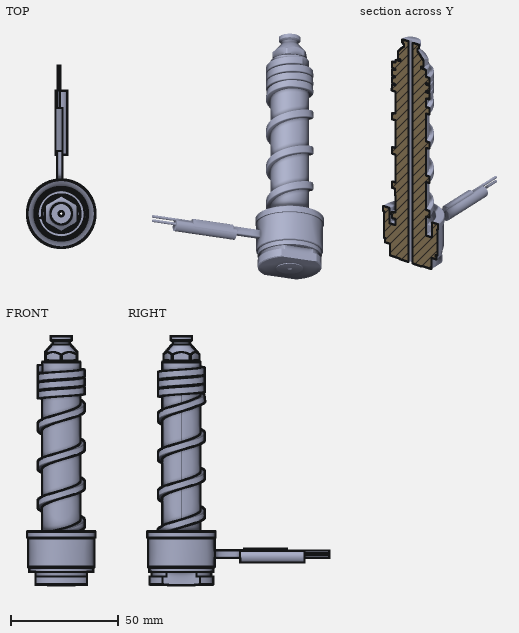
import cadquery as cq
import math

FULL_TURN = 360.0


PAD_RADIUS = 6.2
PAD_HEIGHT = 0.3
BASE_RADIUS = 14.9
BASE_TOP = 4.3
BASE_CHAMFER = 0.4
NECK_RADIUS = 14.0
NECK_TOP = 6.3
FLAT_HALF_WIDTH = 12.1
COLLAR_RADIUS = 15.0
COLLAR_TOP = 8.15
UNDERCUT_RADIUS = 14.6
BODY_BOTTOM = 8.5
BODY_RADIUS = 15.6
BODY_CHAMFER = 0.3
BODY_TOP = 22.0
FLANGE_RADIUS = 16.0
FLANGE_BOTTOM = 22.3
GROOVE_RADIUS = 15.3
HOUSING_TOP = 25.3
FLANGE_CHAMFER = 0.3
RECESS_RADIUS = 12.1
RECESS_CHAMFER = 0.4
RECESS_DEPTH = 8.0

BARREL_RADIUS = 9.0
BARREL_TOP = 104.3
BARREL_CHAMFER = 0.3
WASHER_RADIUS = 6.1
NUT_BOTTOM = 104.95
NUT_SIDES = 6
NUT_ACROSS_FLATS = 15.0
NUT_ROUND_RADIUS = 8.45
CONE_BASE_Z = 107.7
CONE_TOP_RADIUS = 4.3
CONE_TOP_Z = 112.4
TIP_NECK_RADIUS = 4.0
TIP_NECK_TOP = 113.6
TIP_RADIUS = 5.0
TIP_UNDERSIDE = 114.4
TOTAL_HEIGHT = 116.2
BORE_RADIUS = 1.1

COIL_RADIUS = 11.0
STRIP_HEIGHT = 3.5
STRIP_EDGE_RADIUS = 0.35
STRIP_OVERLAP = 1.0
CLOSE_PITCH = 4.0
OPEN_PITCH = 18.0
RAMP_ANGLE = 144.0
OPEN_TURNS_START = -51.0
OPEN_TURNS_END = 173.0 + 3 * FULL_TURN
LOWER_CLOSE_ANGLE = 300.0
UPPER_CLOSE_ANGLE = 18.0 + 3 * FULL_TURN
COIL_START = OPEN_TURNS_START - LOWER_CLOSE_ANGLE
COIL_END = OPEN_TURNS_END + UPPER_CLOSE_ANGLE
COIL_TOP_JOINT_Z = 88.8
SPINE_POINTS_PER_TURN = 16

CABLE_Z = 14.65
CABLE_X = -0.7
CABLE_WIDTH = 2.6
CABLE_HEIGHT = 3.7
CABLE_CORNER = 0.45
CABLE_START_Y = 13.5
BLOCK_X = -1.05
BLOCK_WIDTH = 3.3
BLOCK_HEIGHT = 5.0
BLOCK_CORNER = 1.1
BLOCK_START_Y = 29.2
BLOCK_LENGTH = 20.0
CABLE_END_Y = BLOCK_START_Y + BLOCK_LENGTH / 2
SLEEVE_RADIUS = 2.75
SLEEVE_X = 0.1
SLEEVE_Z = 13.4
SLEEVE_START_Y = 27.4
SLEEVE_LENGTH = 30.0
WIRE_X = -1.05
WIRE_RADIUS = 0.65
WIRE_SPACING = 2.15
WIRE_END_Y = 69.0


def turned(profile):
    """Solid of revolution about Z from (radius, z) corners, closed along the axis."""
    return cq.Workplane("XZ").polyline(profile).close().revolve(FULL_TURN, (0, 0), (0, 1))


def disc(radius, bottom, top):
    return cq.Workplane("XY").workplane(offset=bottom).circle(radius).extrude(top - bottom)


def make_housing():
    base = turned([
        (0, PAD_HEIGHT),
        (BASE_RADIUS - BASE_CHAMFER, PAD_HEIGHT),
        (BASE_RADIUS, PAD_HEIGHT + BASE_CHAMFER),
        (BASE_RADIUS, BASE_TOP),
        (NECK_RADIUS, BASE_TOP),
        (NECK_RADIUS, NECK_TOP),
        (0, NECK_TOP),
    ])
    between_flats = cq.Workplane("XY").box(
        2 * FLAT_HALF_WIDTH, 2 * BASE_RADIUS, NECK_TOP, centered=(True, True, False)
    )
    cup = turned([
        (0, NECK_TOP),
        (COLLAR_RADIUS, NECK_TOP),
        (COLLAR_RADIUS, COLLAR_TOP),
        (UNDERCUT_RADIUS, COLLAR_TOP),
        (UNDERCUT_RADIUS, BODY_BOTTOM),
        (BODY_RADIUS - BODY_CHAMFER, BODY_BOTTOM),
        (BODY_RADIUS, BODY_BOTTOM + BODY_CHAMFER),
        (BODY_RADIUS, BODY_TOP),
        (GROOVE_RADIUS, BODY_TOP),
        (GROOVE_RADIUS, FLANGE_BOTTOM),
        (FLANGE_RADIUS, FLANGE_BOTTOM),
        (FLANGE_RADIUS, HOUSING_TOP - FLANGE_CHAMFER),
        (FLANGE_RADIUS - FLANGE_CHAMFER, HOUSING_TOP),
        (RECESS_RADIUS + RECESS_CHAMFER, HOUSING_TOP),
        (RECESS_RADIUS, HOUSING_TOP - RECESS_CHAMFER),
        (RECESS_RADIUS, HOUSING_TOP - RECESS_DEPTH),
        (0, HOUSING_TOP - RECESS_DEPTH),
    ])
    return base.intersect(between_flats).union(disc(PAD_RADIUS, 0, PAD_HEIGHT)).union(cup)


def make_barrel():
    barrel = disc(BARREL_RADIUS, NECK_TOP, BARREL_TOP).faces(">Z").chamfer(BARREL_CHAMFER)
    return barrel.union(disc(WASHER_RADIUS, BARREL_TOP, NUT_BOTTOM))


def make_nozzle():
    envelope = turned([
        (0, NUT_BOTTOM),
        (NUT_ROUND_RADIUS, NUT_BOTTOM),
        (NUT_ROUND_RADIUS, CONE_BASE_Z),
        (CONE_TOP_RADIUS, CONE_TOP_Z),
        (TIP_NECK_RADIUS, CONE_TOP_Z),
        (TIP_NECK_RADIUS, TIP_NECK_TOP),
        (TIP_RADIUS, TIP_UNDERSIDE),
        (TIP_RADIUS, TOTAL_HEIGHT),
        (0, TOTAL_HEIGHT),
    ])
    across_corners = NUT_ACROSS_FLATS / math.cos(math.pi / NUT_SIDES)
    hexagon = (
        cq.Workplane("XY").workplane(offset=NUT_BOTTOM)
        .transformed(rotate=(0, 0, FULL_TURN / NUT_SIDES / 2))
        .polygon(NUT_SIDES, across_corners)
        .extrude(TOTAL_HEIGHT - NUT_BOTTOM)
    )
    return envelope.intersect(hexagon)


def ramp_rise(angle, from_pitch, to_pitch):
    """Rise over an angle while the pitch changes evenly during the first RAMP_ANGLE."""
    ramped = min(angle, RAMP_ANGLE)
    mean_pitch = from_pitch + (to_pitch - from_pitch) * ramped / RAMP_ANGLE / 2
    return (mean_pitch * ramped + to_pitch * (angle - ramped)) / FULL_TURN


def strip_height(angle):
    """Z of the strip's middle at an angle along the coil."""
    if angle >= OPEN_TURNS_END:
        return COIL_TOP_JOINT_Z + CLOSE_PITCH * (angle - OPEN_TURNS_END) / FULL_TURN
    if angle >= OPEN_TURNS_START:
        return COIL_TOP_JOINT_Z - ramp_rise(OPEN_TURNS_END - angle, CLOSE_PITCH, OPEN_PITCH)
    return strip_height(OPEN_TURNS_START) - ramp_rise(
        OPEN_TURNS_START - angle, OPEN_PITCH, CLOSE_PITCH
    )


def make_coil():
    """Whole coil strip, its inner side sunk into the barrel."""
    inner_radius = BARREL_RADIUS - STRIP_OVERLAP

    def spine_point(t):
        angle = COIL_START + (COIL_END - COIL_START) * t
        turn = math.radians(angle)
        return (
            inner_radius * math.cos(turn),
            inner_radius * math.sin(turn),
            strip_height(angle),
        )

    steps = math.ceil((COIL_END - COIL_START) / FULL_TURN * SPINE_POINTS_PER_TURN)
    spine = cq.Workplane("XY").spline([spine_point(i / steps) for i in range(steps + 1)])
    turn = math.radians(COIL_START)
    section_plane = cq.Plane(
        origin=spine_point(0),
        xDir=(math.cos(turn), math.sin(turn), 0),
        normal=(math.sin(turn), -math.cos(turn), 0),
    )
    thickness = COIL_RADIUS - inner_radius
    section = (
        cq.Sketch()
        .push([(thickness / 2, 0)])
        .rect(thickness, STRIP_HEIGHT)
        .reset()
        .vertices(">X")
        .fillet(STRIP_EDGE_RADIUS)
    )
    return cq.Workplane(section_plane).placeSketch(section).sweep(spine, isFrenet=True)


def lead_length(section, x, z, start_y, length):
    """Straight length of a lead along +Y with the given cross-section."""
    plane = cq.Plane(origin=(x, start_y, z), xDir=(-1, 0, 0), normal=(0, 1, 0))
    return cq.Workplane(plane).placeSketch(section).extrude(length)


def rounded_bar(width, height, corner):
    return cq.Sketch().rect(width, height).vertices().fillet(corner)


def make_lead():
    cable = lead_length(
        rounded_bar(CABLE_WIDTH, CABLE_HEIGHT, CABLE_CORNER),
        CABLE_X, CABLE_Z, CABLE_START_Y, CABLE_END_Y - CABLE_START_Y,
    )
    block = lead_length(
        rounded_bar(BLOCK_WIDTH, BLOCK_HEIGHT, BLOCK_CORNER),
        BLOCK_X, CABLE_Z, BLOCK_START_Y, BLOCK_LENGTH,
    )
    sleeve = lead_length(
        cq.Sketch().circle(SLEEVE_RADIUS), SLEEVE_X, SLEEVE_Z, SLEEVE_START_Y, SLEEVE_LENGTH
    )
    lead = cable.union(block).union(sleeve)
    for side in (-1, 1):
        wire = lead_length(
            cq.Sketch().circle(WIRE_RADIUS),
            WIRE_X, CABLE_Z + side * WIRE_SPACING / 2, CABLE_END_Y, WIRE_END_Y - CABLE_END_Y,
        )
        lead = lead.union(wire)
    return lead


heated_barrel = make_barrel().union(make_coil(), clean=False)
result = heated_barrel.union(make_housing()).union(make_nozzle()).union(make_lead())
result = result.cut(disc(BORE_RADIUS, 0, TOTAL_HEIGHT))